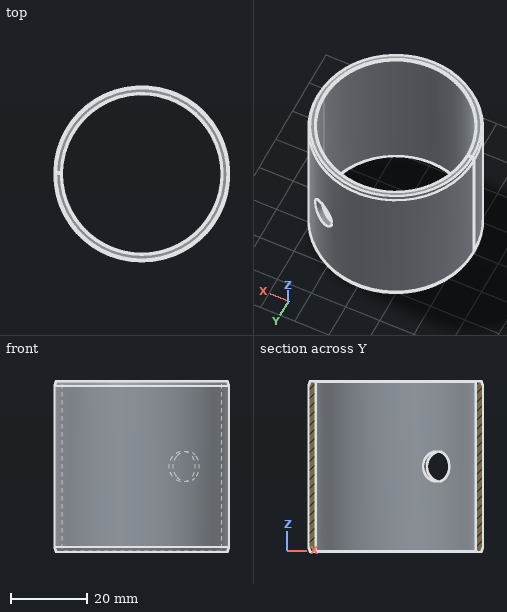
import cadquery as cq
import math

outer_diameter = 46.0
bore_diameter = 42.0
length = 45.0
outer_radius = outer_diameter / 2
bore_radius = bore_diameter / 2

outer_chamfer_length = 1.3
outer_chamfer_angle = 20.0
outer_chamfer_depth = outer_chamfer_length * math.tan(math.radians(outer_chamfer_angle))
bore_chamfer = 0.28

joint_width = 0.4
joint_offset = joint_width / 2

oil_hole_diameter = 8.0
oil_hole_angle = 59.0


def make_sleeve():
    """Revolve the chamfered wall section about Z, centred on mid-length."""
    half_length = length / 2
    outer_chamfer_start = half_length - outer_chamfer_length
    bore_chamfer_start = half_length - bore_chamfer
    end_outer_radius = outer_radius - outer_chamfer_depth
    end_bore_radius = bore_radius + bore_chamfer
    wall_section = [
        (bore_radius, -bore_chamfer_start),
        (end_bore_radius, -half_length),
        (end_outer_radius, -half_length),
        (outer_radius, -outer_chamfer_start),
        (outer_radius, outer_chamfer_start),
        (end_outer_radius, half_length),
        (end_bore_radius, half_length),
        (bore_radius, bore_chamfer_start),
    ]
    return cq.Workplane("XZ").polyline(wall_section).close().revolve(360, (0, 0), (0, 1))


def make_joint_cutter():
    """Thin slab that splits the wall along its full length."""
    return cq.Workplane("XY").box(outer_radius, joint_width, length).translate(
        (-outer_radius, joint_offset, 0)
    )


def make_oil_hole_cutter():
    """Radial cylinder from the axis through one side of the wall."""
    return (
        cq.Workplane("YZ")
        .circle(oil_hole_diameter / 2)
        .extrude(outer_diameter)
        .rotate((0, 0, 0), (0, 0, 1), oil_hole_angle)
    )


result = make_sleeve().cut(make_joint_cutter()).cut(make_oil_hole_cutter())